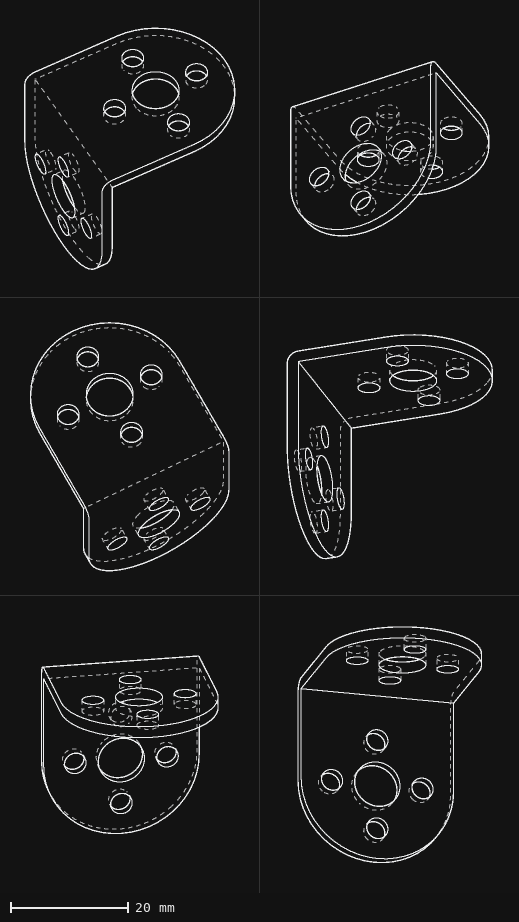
import cadquery as cq

width = 27.0
leg_length = 31.5
thickness = 2.02
bend_radius = thickness
center_hole_diameter = 8.0
small_hole_diameter = 3.72
small_hole_offset = 8.0
small_hole_count = 4

end_radius = width / 2
hole_center = leg_length - end_radius


def leg(plane):
    """Round-ended plate with its hole pattern, starting at the outer corner."""
    outline = (
        cq.Workplane(plane)
        .moveTo(-end_radius, 0)
        .lineTo(end_radius, 0)
        .lineTo(end_radius, hole_center)
        .threePointArc((0, leg_length), (-end_radius, hole_center))
        .close()
    )
    plate = outline.extrude(thickness)
    center_hole = (
        cq.Workplane(plane)
        .center(0, hole_center)
        .circle(center_hole_diameter / 2)
        .extrude(thickness)
    )
    small_holes = (
        cq.Workplane(plane)
        .center(0, hole_center)
        .polarArray(small_hole_offset, 0, 360, small_hole_count)
        .circle(small_hole_diameter / 2)
        .extrude(thickness)
    )
    return plate.cut(center_hole).cut(small_holes)


horizontal_plane = cq.Plane(origin=(0, 0, -thickness), xDir=(1, 0, 0), normal=(0, 0, 1))
vertical_plane = cq.Plane(origin=(0, 0, 0), xDir=(1, 0, 0), normal=(0, 1, 0))
bracket = leg(horizontal_plane).union(leg(vertical_plane))

corner_block = cq.Workplane("XY").box(width, bend_radius, bend_radius, centered=(True, False, False))
corner_block = corner_block.translate((0, 0, -bend_radius))
bend_cylinder = (
    cq.Workplane("YZ")
    .center(bend_radius, -bend_radius)
    .circle(bend_radius)
    .extrude(end_radius, both=True)
)
result = bracket.cut(corner_block.cut(bend_cylinder))